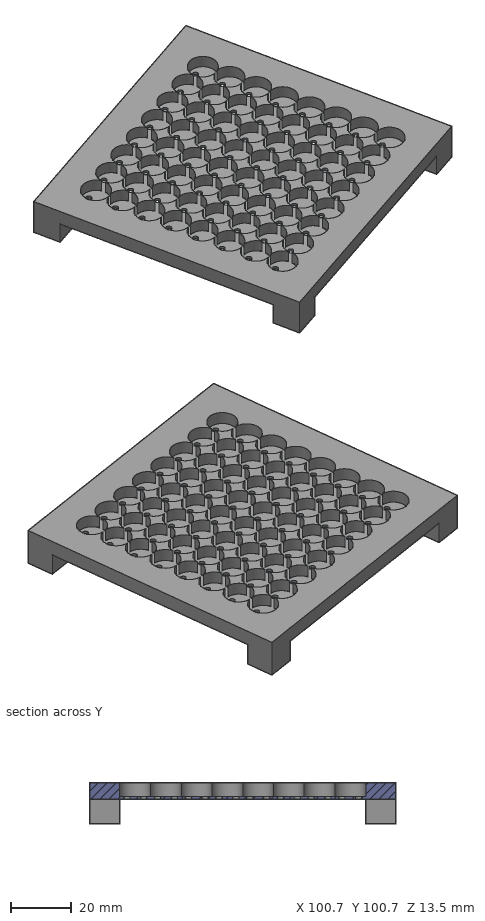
import cadquery as cq

pockets_per_side = 8
pocket_diameter = 10.2
pocket_pitch = 10.1
pocket_depth = 4.5

pin_hole_diameter = 2.0
pin_hole_spacing = 5.5

plate_thickness = 5.5
leg_size = 10.0
leg_height = 8.0
edge_to_pocket_centre = 15.0
plate_width = (pockets_per_side - 1) * pocket_pitch + 2 * edge_to_pocket_centre


def make_plate():
    return (
        cq.Workplane("XY")
        .workplane(offset=leg_height)
        .rect(plate_width, plate_width)
        .extrude(plate_thickness)
    )


def make_legs():
    leg_spacing = plate_width - leg_size
    return (
        cq.Workplane("XY")
        .rarray(leg_spacing, leg_spacing, 2, 2)
        .rect(leg_size, leg_size)
        .extrude(leg_height)
    )


def drill_grid(body, diameter, depth, x_offset=0):
    """Sink one round hole per pocket position from the top face, shifted along X."""
    return (
        body.faces(">Z")
        .workplane(origin=(x_offset, 0, 0))
        .rarray(pocket_pitch, pocket_pitch, pockets_per_side, pockets_per_side)
        .hole(diameter, depth)
    )


result = make_plate().union(make_legs())
for side in (-1, 1):
    result = drill_grid(result, pin_hole_diameter, plate_thickness, side * pin_hole_spacing / 2)
result = drill_grid(result, pocket_diameter, pocket_depth)